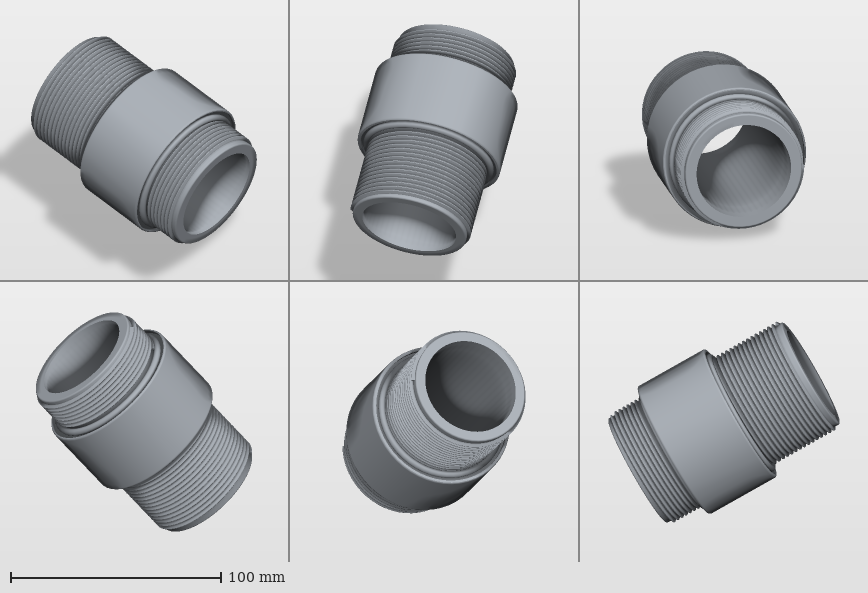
import cadquery as cq
LENGTH = 95.25
BORE_RADIUS = 46.0 / 2
X_AXIS = cq.Vector(1, 0, 0)
END_ROUND = 0.8

COLLAR_RADIUS = 69.8 / 2
COLLAR_START = 38.8
COLLAR_END = 75.3
RIM_LENGTH = 1.0
RIM_DROP = 0.5
RIM_RADIUS = (RIM_LENGTH**2 + RIM_DROP**2) / (2 * RIM_DROP)

THREAD_HEIGHT = 1.5
RIDGE_BASE = 2.0
RIDGE_CREST = 0.3
RIDGE_SINK = 0.1
RIDGE_FOOT = RIDGE_BASE + (RIDGE_BASE - RIDGE_CREST) * RIDGE_SINK / THREAD_HEIGHT
THREAD_INSET = 2.5

LEFT_CREST_RADIUS = 58.7 / 2
LEFT_PIPE_RADIUS = LEFT_CREST_RADIUS - THREAD_HEIGHT
LEFT_THREAD_ADVANCE = 37.0
LEFT_TURNS = 16

RIGHT_CREST_RADIUS = 59.9 / 2
RIGHT_PIPE_RADIUS = RIGHT_CREST_RADIUS - THREAD_HEIGHT
RIGHT_THREAD_ADVANCE = 15.4
RIGHT_TURNS = 7
RIGHT_THREAD_START = LENGTH - THREAD_INSET - RIGHT_THREAD_ADVANCE

RING_SECTION_RADIUS = 1.7
RING_CENTER_RADIUS = RIGHT_PIPE_RADIUS + RING_SECTION_RADIUS
RING_PROJECTION = 1.6
GROOVE_DEPTH = 2 * RING_SECTION_RADIUS - RING_PROJECTION
LEFT_GROOVE_RADIUS = 66.6 / 2
RIGHT_GROOVE_RADIUS = 67.8 / 2
LEFT_RING_X = COLLAR_START - RING_PROJECTION + RING_SECTION_RADIUS
RIGHT_RING_X = COLLAR_END + RING_PROJECTION - RING_SECTION_RADIUS


def cylinder(radius, start, end):
    """Solid cylinder on the X axis between two X positions."""
    return cq.Workplane("YZ", origin=(start, 0, 0)).circle(radius).extrude(end - start)


def make_collar():
    """Collar with a rounded rim at each end and an open groove in each face."""
    collar = (
        cq.Workplane("XY")
        .moveTo(COLLAR_START, 0)
        .lineTo(COLLAR_START, COLLAR_RADIUS - RIM_DROP)
        .radiusArc((COLLAR_START + RIM_LENGTH, COLLAR_RADIUS), RIM_RADIUS)
        .lineTo(COLLAR_END - RIM_LENGTH, COLLAR_RADIUS)
        .radiusArc((COLLAR_END, COLLAR_RADIUS - RIM_DROP), RIM_RADIUS)
        .lineTo(COLLAR_END, 0)
        .close()
        .revolve(axisStart=(0, 0, 0), axisEnd=(1, 0, 0))
    )
    left_groove = cylinder(LEFT_GROOVE_RADIUS, COLLAR_START, COLLAR_START + GROOVE_DEPTH)
    right_groove = cylinder(RIGHT_GROOVE_RADIUS, COLLAR_END - GROOVE_DEPTH, COLLAR_END)
    return collar.cut(left_groove).cut(right_groove)


def make_pipes():
    """Two unthreaded pipe ends that meet inside the collar."""
    middle = (COLLAR_START + COLLAR_END) / 2
    left_pipe = cylinder(LEFT_PIPE_RADIUS, 0, middle).faces("<X").edges().fillet(END_ROUND)
    right_pipe = cylinder(RIGHT_PIPE_RADIUS, middle, LENGTH).faces(">X").edges().fillet(END_ROUND)
    return left_pipe.union(right_pipe)


def make_thread(root_radius, advance, turns, start_x):
    """Right-handed ridge that starts on the +Y side at start_x and advances along +X."""
    path = cq.Wire.makeHelix(advance / turns, advance, root_radius)
    foot_radius = root_radius - RIDGE_SINK
    crest_radius = root_radius + THREAD_HEIGHT
    ridge = (
        cq.Workplane("XZ")
        .moveTo(foot_radius, -RIDGE_FOOT / 2)
        .lineTo(crest_radius, -RIDGE_CREST / 2)
        .lineTo(crest_radius, RIDGE_CREST / 2)
        .lineTo(foot_radius, RIDGE_FOOT / 2)
        .close()
        .sweep(cq.Workplane(path), isFrenet=True)
    )
    return ridge.rotate((0, 0, 0), (1, 1, 1), 360 / 3).translate((start_x, 0, 0))


def make_ring(center_x):
    """Sealing ring around the X axis."""
    return cq.Workplane(
        cq.Solid.makeTorus(
            RING_CENTER_RADIUS, RING_SECTION_RADIUS, cq.Vector(center_x, 0, 0), X_AXIS
        )
    )


def make_fitting(rings):
    """Collar, threaded pipe ends and bore, cleared where the rings lie over the thread."""
    left_thread = make_thread(LEFT_PIPE_RADIUS, LEFT_THREAD_ADVANCE, LEFT_TURNS, THREAD_INSET)
    right_thread = make_thread(RIGHT_PIPE_RADIUS, RIGHT_THREAD_ADVANCE, RIGHT_TURNS, RIGHT_THREAD_START)
    body = make_pipes().union(right_thread).union(left_thread).union(make_collar())
    body = body.cut(cylinder(BORE_RADIUS, 0, LENGTH))
    for ring in rings:
        body = body.cut(ring)
    return body.solids()


sealing_rings = [make_ring(center_x) for center_x in (LEFT_RING_X, RIGHT_RING_X)]
fitting = make_fitting(sealing_rings)

result = cq.Compound.makeCompound([fitting.val(), *(ring.val() for ring in sealing_rings)])